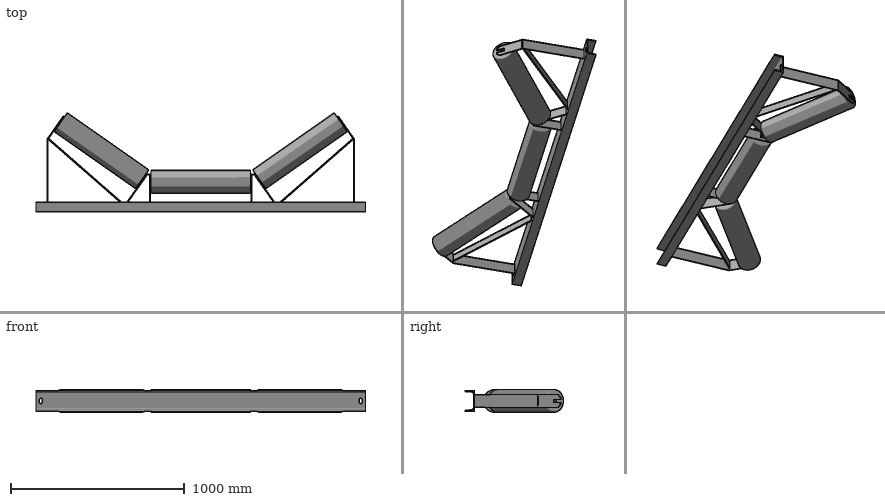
import cadquery as cq
import math


BEAM_LENGTH = 1900.0
BEAM_HEIGHT = 120.0
BEAM_WIDTH = 55.0
WEB_THICKNESS = 7.0
FLANGE_THICKNESS = 9.0
FLANGE_TAPER = 0.08
ROOT_RADIUS = 9.0
TOE_RADIUS = 4.5
BOLT_SLOT_INSET = 28.0
BOLT_SLOT_WIDTH = 16.2
BOLT_SLOT_LENGTH = 30.0

ROLLER_DIAMETER = 133.0
ROLLER_LENGTH = 574.0
ROLLER_EDGE_RADIUS = 5.0
SPINDLE_DIAMETER = 18.0
CENTRE_ROLLER_Y = 118.0
WING_ROLLER_X = 572.0
WING_ROLLER_Y = 296.0
TROUGH_ANGLE = 35.0

BAR_THICKNESS = 5.0
INNER_BRACKET_WIDTH = 66.0
OUTER_BRACKET_WIDTH = 75.0
ROLLER_GAP = 2.8
INNER_BRACKET_TOP = 163.0
OUTER_BRACKET_X = 885.0
OUTER_BRACKET_TIP = 38.0
TIP_CHAMFER = 17.0

STRUT_THICKNESS = 6.6
STRUT_WIDTH = 50.0
STRUT_FOOT_X = 465.0

NEAR_FACE = ROLLER_LENGTH / 2 + ROLLER_GAP
FAR_FACE = NEAR_FACE + BAR_THICKNESS
BAR_MIDDLE = (NEAR_FACE + FAR_FACE) / 2

SPINDLE_LENGTH = 2 * FAR_FACE
TILT = math.radians(TROUGH_ANGLE)


def wing_point(along, across):
    """Point given along the right wing roller's axis and square to it, from its middle."""
    x = WING_ROLLER_X + along * math.cos(TILT) - across * math.sin(TILT)
    y = WING_ROLLER_Y + along * math.sin(TILT) + across * math.cos(TILT)
    return (x, y)


def wing_point_at_height(along, y):
    """Point at height y on the line square to the wing axis at `along`."""
    return wing_point(along, (y - WING_ROLLER_Y - along * math.sin(TILT)) / math.cos(TILT))


def wing_point_at_x(along, x):
    """Point at x on the line square to the wing axis at `along`."""
    return wing_point(along, (WING_ROLLER_X + along * math.cos(TILT) - x) / math.sin(TILT))


UPRIGHT_INNER_X = OUTER_BRACKET_X - BAR_THICKNESS
INNER_BEND = wing_point_at_x(NEAR_FACE, UPRIGHT_INNER_X)


def make_plate(outline, width):
    """Extrude an XY outline symmetrically about Z = 0."""
    return cq.Workplane("XY", origin=(0, 0, -width / 2)).polyline(outline).close().extrude(width)


def make_bar(diameter, length):
    """Round bar along X, centred on the origin."""
    return cq.Workplane("YZ", origin=(-length / 2, 0, 0)).circle(diameter / 2).extrude(length)


def in_wing_frame(body):
    """Move a body from the origin to the right wing roller's place."""
    return body.rotate((0, 0, 0), (0, 0, 1), TROUGH_ANGLE).translate((WING_ROLLER_X, WING_ROLLER_Y, 0))


def make_spindle_slot(along):
    """Square-bottomed cutter, open upwards, for the spindle of a roller lying along X at the origin."""
    bottom = -SPINDLE_DIAMETER / 2
    height = ROLLER_DIAMETER / 2 - bottom
    slot = cq.Workplane("XY").box(2 * BAR_THICKNESS, height, SPINDLE_DIAMETER)
    return slot.translate((along, bottom + height / 2, 0))


def make_beam():
    half = BEAM_HEIGHT / 2
    taper_rise = FLANGE_TAPER * BEAM_WIDTH / 2
    toe_z = half - FLANGE_THICKNESS + taper_rise
    root_z = toe_z - FLANGE_TAPER * (BEAM_WIDTH - WEB_THICKNESS)
    section = [
        (0, half), (-BEAM_WIDTH, half), (-BEAM_WIDTH, toe_z), (-WEB_THICKNESS, root_z),
        (-WEB_THICKNESS, -root_z), (-BEAM_WIDTH, -toe_z), (-BEAM_WIDTH, -half), (0, -half),
    ]
    end_plane = cq.Workplane("YZ", origin=(-BEAM_LENGTH / 2, 0, 0))
    beam = end_plane.polyline(section).close().extrude(BEAM_LENGTH)
    for side in (1, -1):
        root = cq.selectors.NearestToPointSelector((0, -WEB_THICKNESS, side * root_z))
        beam = beam.edges(root).fillet(ROOT_RADIUS)
        toe = cq.selectors.NearestToPointSelector((0, -BEAM_WIDTH, side * toe_z))
        beam = beam.edges(toe).fillet(TOE_RADIUS)
    slot_x = BEAM_LENGTH / 2 - BOLT_SLOT_INSET
    slots = (
        cq.Workplane("XZ")
        .pushPoints([(slot_x, 0), (-slot_x, 0)])
        .slot2D(BOLT_SLOT_LENGTH, BOLT_SLOT_WIDTH, 90)
        .extrude(BEAM_WIDTH)
    )
    return beam.cut(slots)


def make_roller():
    """Roller shell and spindle, one solid lying along X at the origin."""
    shell = make_bar(ROLLER_DIAMETER, ROLLER_LENGTH).edges("%CIRCLE").fillet(ROLLER_EDGE_RADIUS)
    return shell.union(make_bar(SPINDLE_DIAMETER, SPINDLE_LENGTH))


def make_inner_bracket():
    """Upright beside the centre roller, flat top, and a leg tilted square to the wing roller."""
    under_top = INNER_BRACKET_TOP - BAR_THICKNESS
    outline = [
        (NEAR_FACE, 0), (NEAR_FACE, INNER_BRACKET_TOP),
        wing_point_at_height(-NEAR_FACE, INNER_BRACKET_TOP), wing_point_at_height(-NEAR_FACE, 0),
        wing_point_at_height(-FAR_FACE, 0), wing_point_at_height(-FAR_FACE, under_top),
        (FAR_FACE, under_top), (FAR_FACE, 0),
    ]
    centre_slot = make_spindle_slot(BAR_MIDDLE).translate((0, CENTRE_ROLLER_Y, 0))
    wing_slot = in_wing_frame(make_spindle_slot(-BAR_MIDDLE))
    return make_plate(outline, INNER_BRACKET_WIDTH).cut(centre_slot).cut(wing_slot)


def make_outer_bracket():
    """Upright near the beam's end, bent inwards square to the wing roller."""
    outline = [
        (UPRIGHT_INNER_X, 0), INNER_BEND,
        wing_point(NEAR_FACE, OUTER_BRACKET_TIP), wing_point(FAR_FACE, OUTER_BRACKET_TIP),
        wing_point_at_x(FAR_FACE, OUTER_BRACKET_X), (OUTER_BRACKET_X, 0),
    ]
    plate = make_plate(outline, OUTER_BRACKET_WIDTH)
    tip = wing_point(BAR_MIDDLE, OUTER_BRACKET_TIP)
    for side in (1, -1):
        corner = cq.selectors.NearestToPointSelector((*tip, side * OUTER_BRACKET_WIDTH / 2))
        plate = plate.edges(corner).chamfer(TIP_CHAMFER)
    return plate.cut(in_wing_frame(make_spindle_slot(BAR_MIDDLE)))


def make_strut():
    """The lower edge runs into the outer bracket's inner bend, the upper edge onto its tilted leg."""
    bend_x, bend_y = INNER_BEND
    angle = math.atan2(bend_y, bend_x - STRUT_FOOT_X)
    foot_length = STRUT_THICKNESS / math.sin(angle)
    leg_length = STRUT_THICKNESS / math.cos(angle - TILT)
    leg_end = (bend_x - leg_length * math.sin(TILT), bend_y + leg_length * math.cos(TILT))
    outline = [(STRUT_FOOT_X, 0), INNER_BEND, leg_end, (STRUT_FOOT_X - foot_length, 0)]
    return make_plate(outline, STRUT_WIDTH)


beam = make_beam()
centre_roller = make_roller().translate((0, CENTRE_ROLLER_Y, 0))
wing_roller = in_wing_frame(make_roller())
inner_bracket = make_inner_bracket()
outer_bracket = make_outer_bracket()
strut = make_strut()

bodies = [beam.val(), centre_roller.val()]
for body in (wing_roller, inner_bracket, outer_bracket, strut):
    bodies += [body.val(), body.mirror("YZ").val()]

result = cq.Compound.makeCompound(bodies)